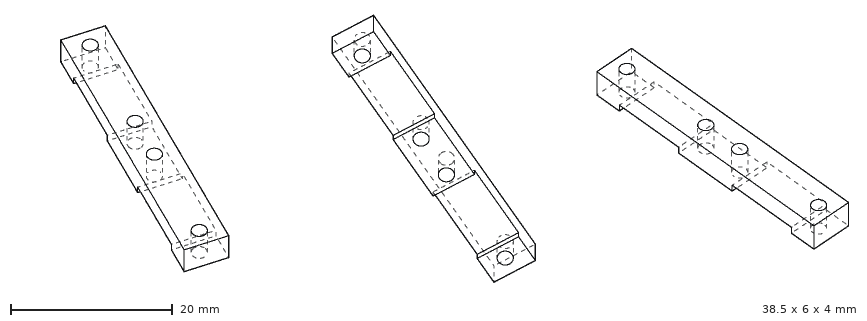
import cadquery as cq

length = 38.5
width = 6.0
height = 4.0

relief_depth = 1.0
foot_length = 4.0
pad_length = 9.5
relief_length = (length - pad_length) / 2 - foot_length
relief_center = (pad_length + relief_length) / 2

hole_diameter = 2.0
inner_hole_spacing = 6.0
outer_hole_spacing = 34.0


def make_bar():
    """Plain bar centred in X and Y, with its underside at Z = 0."""
    return cq.Workplane("XY").box(length, width, height, centered=(True, True, False))


def make_reliefs():
    """Two shallow blocks that cross the full width of the underside."""
    return (
        cq.Workplane("XY")
        .pushPoints([(-relief_center, 0), (relief_center, 0)])
        .rect(relief_length, width)
        .extrude(relief_depth)
    )


def make_holes():
    """Two pairs of cylinders, symmetric about the middle of the bar."""
    hole_points = [
        (side * spacing / 2, 0)
        for spacing in (inner_hole_spacing, outer_hole_spacing)
        for side in (-1, 1)
    ]
    return cq.Workplane("XY").pushPoints(hole_points).circle(hole_diameter / 2).extrude(height)


result = make_bar().cut(make_reliefs()).cut(make_holes())